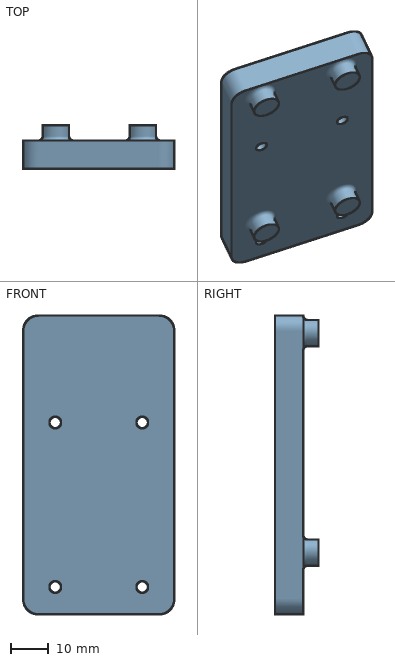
import cadquery as cq

plate_width = 40.0
plate_height = 79.0
plate_thickness = 7.5
corner_radius = 4.0

hole_diameter = 3.0
hole_spacing_x = 23.0
hole_spacing_z = 43.45
hole_bottom_margin = 7.3

overall_depth = 11.5
boss_height = overall_depth - plate_thickness
boss_diameter = 7.0
boss_spacing_x = hole_spacing_x
boss_spacing_z = 58.0
boss_top_margin = 4.7
boss_offset_x = 0.15
boss_root_fillet = 1.0

hole_center_z = (hole_spacing_z - plate_height) / 2 + hole_bottom_margin
boss_center_z = (plate_height - boss_spacing_z) / 2 - boss_top_margin


def back_face(body, center_x, center_z):
    """Workplane on the plate's back face, facing +Y, with its origin at the given X and Z."""
    plane = cq.Plane(origin=(center_x, plate_thickness, center_z), xDir=(0, 0, 1), normal=(0, 1, 0))
    return body.copyWorkplane(cq.Workplane(plane))


plate = (
    cq.Workplane("XY")
    .box(plate_width, plate_thickness, plate_height, centered=(True, False, True))
    .edges("|Y")
    .fillet(corner_radius)
)

bossed_plate = (
    back_face(plate, boss_offset_x, boss_center_z)
    .rarray(boss_spacing_z, boss_spacing_x, 2, 2)
    .circle(boss_diameter / 2)
    .extrude(boss_height)
)
plate_back = bossed_plate.faces(cq.selectors.NearestToPointSelector((0, plate_thickness, 0)))
root_circles = plate_back.val().innerWires()
bossed_plate = bossed_plate.newObject(root_circles).edges().fillet(boss_root_fillet)

result = (
    back_face(bossed_plate, 0, hole_center_z)
    .rarray(hole_spacing_z, hole_spacing_x, 2, 2)
    .circle(hole_diameter / 2)
    .cutBlind(-plate_thickness)
)